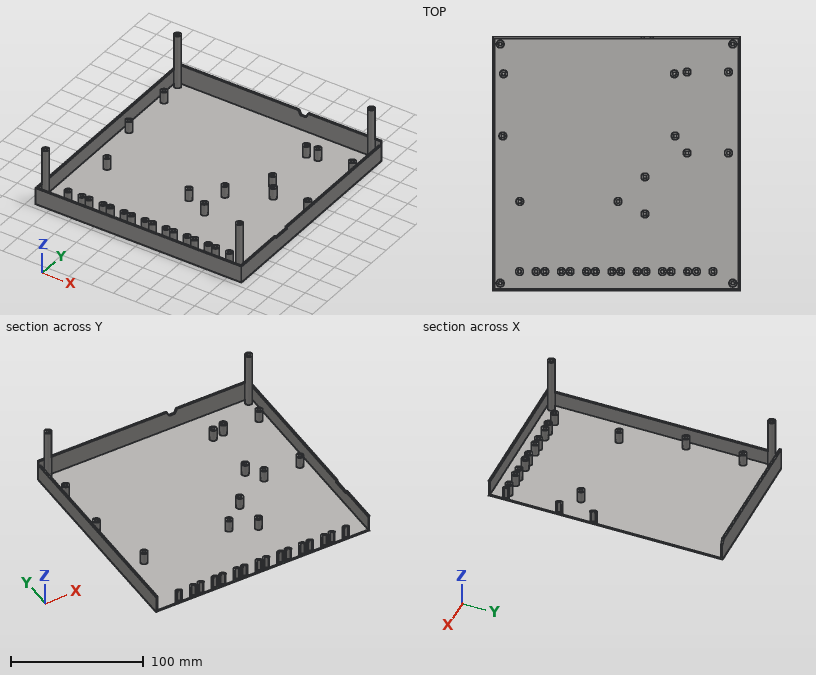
import cadquery as cq

length_x = 186.0
length_y = 191.0
total_height = 49.5
wall = 1.5
floor_thickness = 2.0
wall_height = 14.7
back_wall_height = 18.7

post_diameter = 5.7
post_bore = 2.7
corner_post_inset = 5.5
short_post_top = 11.8

module_count = 8
module_row_length = 145.5
module_post_spacing = 12.5
module_pitch = (module_row_length - module_post_spacing) / (module_count - 1)
module_row_x = -0.2
module_row_y = -81.2

board_posts = [
    (-85.0, 67.6),
    (43.5, 67.6),
    (-85.5, 20.8),
    (44.1, 20.8),
    (53.1, 69.0),
    (84.2, 69.0),
    (53.1, 8.0),
    (84.2, 8.0),
    (21.4, -10.0),
    (21.4, -37.8),
    (-72.8, -28.5),
    (1.1, -28.5),
]

back_notch_x = 23.1
back_notch_top_width = 8.8
back_notch_bottom_width = 4.8
back_notch_depth = 4.0

side_notch_y = -40.7
side_notch_width = 14.5
side_notch_depth = 1.5


def make_tray():
    tray = cq.Workplane("XY").box(length_x, length_y, wall_height, centered=(True, True, False))
    back_wall = (
        cq.Workplane("XY")
        .center(0, (length_y - wall) / 2)
        .box(length_x, wall, back_wall_height, centered=(True, True, False))
    )
    cavity = (
        cq.Workplane("XY")
        .workplane(offset=floor_thickness)
        .rect(length_x - 2 * wall, length_y - 2 * wall)
        .extrude(wall_height - floor_thickness)
    )
    return tray.cut(cavity).union(back_wall)


def make_back_notch():
    half_top = back_notch_top_width / 2
    half_bottom = back_notch_bottom_width / 2
    bottom_z = back_wall_height - back_notch_depth
    return (
        cq.Workplane("XZ", origin=(0, length_y / 2, 0))
        .moveTo(back_notch_x - half_top, back_wall_height)
        .lineTo(back_notch_x - half_bottom, bottom_z)
        .lineTo(back_notch_x + half_bottom, bottom_z)
        .lineTo(back_notch_x + half_top, back_wall_height)
        .close()
        .extrude(wall)
    )


def make_side_notch():
    return (
        cq.Workplane("XY")
        .workplane(offset=wall_height - side_notch_depth)
        .center((length_x - wall) / 2, side_notch_y)
        .rect(wall, side_notch_width)
        .extrude(side_notch_depth)
    )


def make_posts(centres, top):
    """Tubes from the underside of the floor to the given height, and their bores above the floor."""
    tubes = cq.Workplane("XY").pushPoints(centres).circle(post_diameter / 2).extrude(top)
    bores = (
        cq.Workplane("XY")
        .workplane(offset=floor_thickness)
        .pushPoints(centres)
        .circle(post_bore / 2)
        .extrude(top - floor_thickness)
    )
    return tubes, bores


module_posts = []
for index in range(module_count):
    module_x = module_row_x + (index - (module_count - 1) / 2) * module_pitch
    for side in (-1, 1):
        module_posts.append((module_x + side * module_post_spacing / 2, module_row_y))

corner_x = length_x / 2 - corner_post_inset
corner_y = length_y / 2 - corner_post_inset
corner_posts = [(sx * corner_x, sy * corner_y) for sx in (-1, 1) for sy in (-1, 1)]

result = make_tray().cut(make_back_notch()).cut(make_side_notch())
for centres, top in (
    (corner_posts, total_height),
    (board_posts + module_posts, short_post_top),
):
    tubes, bores = make_posts(centres, top)
    result = result.union(tubes).cut(bores)